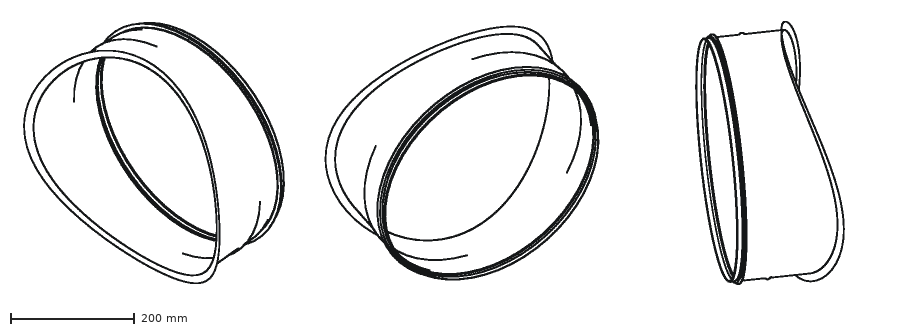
import cadquery as cq
import math

SHEET_THICKNESS = 0.5
OVERALL_LENGTH = 174.17

PIPE_RADIUS = 398.8 / 2
END_ROUNDING = 1.3

GROOVE_RADIUS = 394.0 / 2
GROOVE_START = 7.4
GROOVE_END = 25.2
GROOVE_FRONT_RAMP_LENGTH = 3.2
GROOVE_BACK_RAMP_LENGTH = 5.1
GROOVE_FRONT_BEND_RADIUS = 1.5
GROOVE_BACK_BEND_RADIUS = 2.5

BEAD_DISTANCE = 63.2
BEAD_HALF_WIDTH = 3.3
BEAD_APEX_HEIGHT = 3.0
BEAD_BEND_RADIUS = 2.0

FLANGE_RADIUS = 424.8 / 2
SADDLE_RADIUS = 400.0
SADDLE_SAG = SADDLE_RADIUS - math.sqrt(SADDLE_RADIUS**2 - FLANGE_RADIUS**2)
SADDLE_AXIS_Y = -OVERALL_LENGTH + SADDLE_SAG - SADDLE_RADIUS

GASKET_RADIUS = 395.2 / 2
SHORT_LIP_RADIUS = 404.2 / 2
SHORT_LIP_FRONT = 9.0
SHORT_LIP_FOOT_RADIUS = 397.8 / 2
SHORT_LIP_TIP_FRONT = 10.1
SHORT_LIP_TIP_BACK = 10.7
SHORT_LIP_BACK = 13.1
TALL_LIP_RADIUS = 409.2 / 2
TALL_LIP_FRONT = 14.0
TALL_LIP_THICKNESS = 1.3


def start_profile(radius, distance):
    """Start a half section whose local x is the radius (along +Z) and local y is Y."""
    section = cq.Workplane(cq.Plane(origin=(0, 0, 0), xDir=(0, 0, 1), normal=(-1, 0, 0)))
    return section.moveTo(radius, -distance)


def revolve_profile(profile):
    return profile.close().revolve(360, (0, 0, 0), (0, 1, 0))


def add_bend(profile, before, corner, after, bend_radius):
    """Draw a line towards the corner and a tangent arc around it, heading for the next point."""

    def unit_from_corner(point):
        dx = point[0] - corner[0]
        dy = point[1] - corner[1]
        length = math.hypot(dx, dy)
        return dx / length, dy / length

    ux, uy = unit_from_corner(before)
    vx, vy = unit_from_corner(after)
    half_angle = math.acos(ux * vx + uy * vy) / 2
    tangent = bend_radius / math.tan(half_angle)
    arc_middle = (bend_radius / math.sin(half_angle) - bend_radius) / (2 * math.cos(half_angle))
    start = (corner[0] + tangent * ux, corner[1] + tangent * uy)
    middle = (corner[0] + arc_middle * (ux + vx), corner[1] + arc_middle * (uy + vy))
    end = (corner[0] + tangent * vx, corner[1] + tangent * vy)
    return profile.lineTo(*start).threePointArc(middle, end)


def make_pipe_core(inset):
    """Solid bounded by the rolled pipe wall, with every radius reduced by the inset."""
    wall = PIPE_RADIUS - inset
    floor = GROOVE_RADIUS - inset
    corners = [
        (wall, GROOVE_START, GROOVE_FRONT_BEND_RADIUS),
        (floor, GROOVE_START + GROOVE_FRONT_RAMP_LENGTH, GROOVE_FRONT_BEND_RADIUS),
        (floor, GROOVE_END - GROOVE_BACK_RAMP_LENGTH, GROOVE_BACK_BEND_RADIUS),
        (wall, GROOVE_END, GROOVE_BACK_BEND_RADIUS),
        (wall, BEAD_DISTANCE - BEAD_HALF_WIDTH, BEAD_BEND_RADIUS),
        (wall + BEAD_APEX_HEIGHT, BEAD_DISTANCE, BEAD_BEND_RADIUS),
        (wall, BEAD_DISTANCE + BEAD_HALF_WIDTH, BEAD_BEND_RADIUS),
    ]
    points = [(wall, -END_ROUNDING)]
    points += [(radius, -distance) for radius, distance, _ in corners]
    points += [(wall, -OVERALL_LENGTH)]

    profile = start_profile(0, 0).lineTo(wall - END_ROUNDING, 0)
    profile = profile.radiusArc((wall, -END_ROUNDING), -END_ROUNDING)
    for i, (_, _, bend_radius) in enumerate(corners, start=1):
        profile = add_bend(profile, points[i - 1], points[i], points[i + 1], bend_radius)
    profile = profile.lineTo(wall, -OVERALL_LENGTH).lineTo(0, -OVERALL_LENGTH)
    return revolve_profile(profile)


def make_saddle_cylinder(radius):
    half_height = FLANGE_RADIUS + SHEET_THICKNESS
    return (
        cq.Workplane("XY", origin=(0, SADDLE_AXIS_Y, 0))
        .circle(radius)
        .extrude(half_height, both=True)
    )


def make_pipe(core, saddle_outside):
    """Thin rolled wall that ends on the outside of the saddle flange."""
    return core.cut(make_pipe_core(SHEET_THICKNESS)).cut(saddle_outside)


def make_flange(saddle_outside):
    """Curved sheet ring, round when seen along Y, with the bore of the pipe."""
    ring = (
        cq.Workplane("XZ")
        .circle(FLANGE_RADIUS)
        .circle(PIPE_RADIUS - SHEET_THICKNESS)
        .extrude(OVERALL_LENGTH)
    )
    return ring.intersect(saddle_outside).cut(make_saddle_cylinder(SADDLE_RADIUS))


def make_gasket(core):
    """Ring with two lips whose underside follows the groove of the pipe."""
    tall_lip_back = TALL_LIP_FRONT + TALL_LIP_THICKNESS
    profile = (
        start_profile(GROOVE_RADIUS, SHORT_LIP_FRONT)
        .lineTo(SHORT_LIP_FOOT_RADIUS, -SHORT_LIP_FRONT)
        .lineTo(SHORT_LIP_RADIUS, -SHORT_LIP_TIP_FRONT)
        .lineTo(SHORT_LIP_RADIUS, -SHORT_LIP_TIP_BACK)
        .lineTo(GASKET_RADIUS, -SHORT_LIP_BACK)
        .lineTo(GASKET_RADIUS, -TALL_LIP_FRONT)
        .lineTo(TALL_LIP_RADIUS, -TALL_LIP_FRONT)
        .lineTo(TALL_LIP_RADIUS, -tall_lip_back)
        .lineTo(GROOVE_RADIUS, -tall_lip_back)
    )
    return revolve_profile(profile).cut(core)


pipe_core = make_pipe_core(0)
saddle_outside = make_saddle_cylinder(SADDLE_RADIUS + SHEET_THICKNESS)

pipe = make_pipe(pipe_core, saddle_outside)
flange = make_flange(saddle_outside)
gasket = make_gasket(pipe_core)

bodies = [pipe.solids().val(), flange.solids().val(), gasket.solids().val()]
result = cq.Compound.makeCompound(bodies)